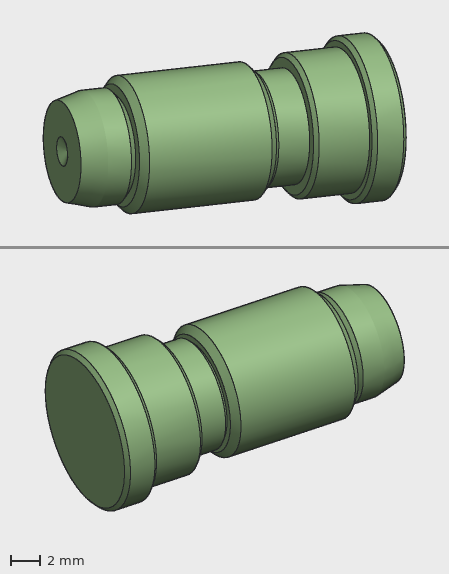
import cadquery as cq

total_length = 23.0
head_radius = 5.75
head_thickness = 2.5
body_radius = 5.01
body_length = 3.98
edge_chamfer = 0.3

neck_radius = 4.0
neck_length = 2.5
neck_chamfer = 0.25
tip_length = 4.0
tip_chamfer = 0.5
tip_taper_length = 1.82
tip_end_radius = 3.52

sleeve_radius = 4.74
sleeve_chamfer = 0.53

centre_mark_radius = 1.01
centre_mark_depth = 0.58

head_front = total_length - head_thickness
body_front = head_front - body_length
neck_front = body_front - neck_length
groove_radius = neck_radius - tip_chamfer
sleeve_length = neck_front - tip_length


def make_pin():
    """Headed pin with a groove for the sleeve and a conical centre mark."""
    half_section = [
        (0, centre_mark_depth),
        (centre_mark_radius, 0),
        (tip_end_radius, 0),
        (neck_radius, tip_taper_length),
        (neck_radius, tip_length - tip_chamfer),
        (groove_radius, tip_length),
        (groove_radius, neck_front),
        (neck_radius - neck_chamfer, neck_front),
        (neck_radius, neck_front + neck_chamfer),
        (neck_radius, body_front),
        (body_radius - edge_chamfer, body_front),
        (body_radius, body_front + edge_chamfer),
        (body_radius, head_front),
        (head_radius - edge_chamfer, head_front),
        (head_radius, head_front + edge_chamfer),
        (head_radius, total_length - edge_chamfer),
        (head_radius - edge_chamfer, total_length),
        (0, total_length),
    ]
    return cq.Workplane("XY").polyline(half_section).close().revolve(360, (0, 0), (0, 1))


def make_sleeve():
    """Plain ring filling the groove, chamfered on both outer rims."""
    ring = (
        cq.Workplane("XZ", origin=(0, neck_front, 0))
        .circle(sleeve_radius)
        .extrude(sleeve_length)
        .faces("<Y or >Y")
        .chamfer(sleeve_chamfer)
    )
    bore = cq.Workplane("XZ", origin=(0, neck_front, 0)).circle(groove_radius).extrude(sleeve_length)
    return ring.cut(bore)


pin = make_pin()
sleeve = make_sleeve()
result = cq.Compound.makeCompound([pin.val(), sleeve.val()])